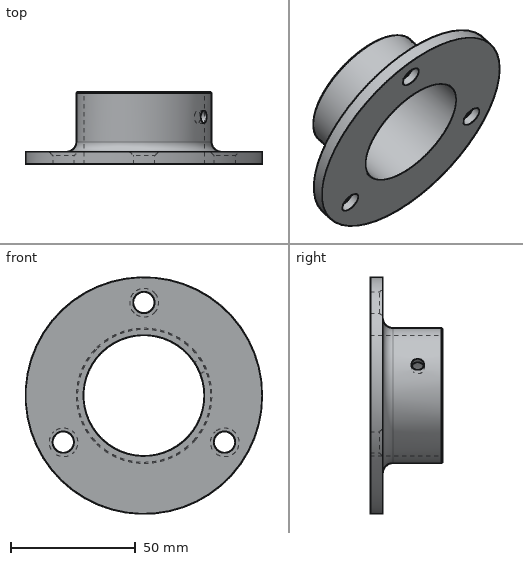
import cadquery as cq
import math

flange_diameter = 95.0
flange_thickness = 5.0
total_depth = 29.0

hub_diameter = 54.3
bore_diameter = 48.4
root_fillet = 4.0
rim_chamfer = 0.5

mount_hole_count = 3
mount_hole_diameter = 8.5
mount_circle_radius = 37.3
countersink_depth = 1.5

screw_hole_diameter = 5.0
screw_hole_angle = 27.5
screw_hole_depth = 19.0


def disc(diameter, depth):
    """Cylinder about the Y axis, from the front face towards +Y."""
    return cq.Workplane("XZ").circle(diameter / 2).extrude(-depth)


def flanged_hub():
    flange = disc(flange_diameter, flange_thickness)
    hub = disc(hub_diameter, total_depth).faces(">Y").edges().chamfer(rim_chamfer)
    body = flange.union(hub)
    rear_face_point = (mount_circle_radius, flange_thickness, 0)
    rear_face = body.faces(cq.selectors.NearestToPointSelector(rear_face_point))
    body = rear_face.edges(cq.selectors.RadiusNthSelector(0)).fillet(root_fillet)
    return body.cut(disc(bore_diameter, total_depth))


def mounting_holes():
    """Countersunk holes, each revolved about its own axis along Y."""
    hole_radius = mount_hole_diameter / 2
    sink_radius = hole_radius + countersink_depth
    profile = [
        (0, 0),
        (hole_radius, 0),
        (hole_radius, flange_thickness - countersink_depth),
        (sink_radius, flange_thickness),
        (0, flange_thickness),
    ]
    hole = cq.Workplane("XY").polyline(profile).close().revolve(360, (0, 0), (0, 1))
    top_hole = hole.translate((0, 0, mount_circle_radius))
    holes = cq.Workplane("XY")
    for index in range(mount_hole_count):
        holes = holes.add(top_hole.rotate((0, 0, 0), (0, 1, 0), index * 360 / mount_hole_count))
    return holes.combine()


def screw_hole():
    angle = math.radians(screw_hole_angle)
    outward = cq.Vector(math.cos(angle), 0, math.sin(angle))
    axis_start = cq.Vector(0, screw_hole_depth, 0)
    return cq.Solid.makeCylinder(screw_hole_diameter / 2, hub_diameter, axis_start, outward)


result = flanged_hub().cut(mounting_holes()).cut(screw_hole())